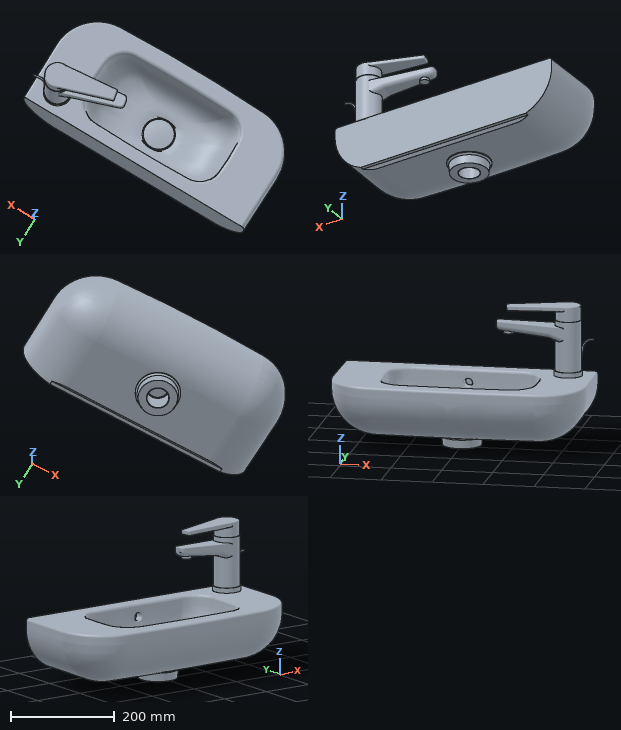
import cadquery as cq

BASIN_WIDTH = 502.0
BACK_WIDTH = 497.5
SIDE_LENGTH = 210.5
FRONT_BOW = 9.5
BASIN_HEIGHT = 112.0
PLAN_RADIUS = 92.5
BELLY_RADIUS = 90.5
RIM_ROUND = 6.5
BACK_STEP_DEPTH = 13.5
BACK_STEP_HEIGHT = 5.5

BOWL_BACK = 30.0
BOWL_FRONT = 179.5
BOWL_HALF_WIDTH = 144.5
BOWL_CORNER = 46.0
BOWL_BOW = 3.5
BOWL_SIDE_BOW = 6.0
BOWL_LIP = 7.0
BOWL_DEPTH = 90.0
DRAIN_END_CORNER = 21.0
DRAIN_END_BOW = 6.5
BOWL_LEVELS = [(1.0, 0.0), (0.98, 0.25), (0.92, 0.5), (0.77, 0.75), (0.43, 0.94), (0.0, 1.0)]
OVERFLOW_DIAMETER = 16.0
OVERFLOW_ROUND = 2.0
OVERFLOW_Z = -28.0
OVERFLOW_LENGTH = 35.0
OVERFLOW_END = 10.0

DRAIN_X = -1.0
DRAIN_Y = -91.0
BOSS_DIAMETER = 76.5
BOSS_NECK_DIAMETER = 80.0
BOSS_FLANGE_DIAMETER = 87.5
BOSS_FLANGE_HEIGHT = 2.0
BOSS_NECK_HEIGHT = 5.5
BOSS_OVERLAP = 5.0
BOSS_BOTTOM = -135.0
WASTE_FLANGE_DIAMETER = 64.0
WASTE_FLANGE_HEIGHT = 2.5
WASTE_DIAMETER = 44.0
WASTE_BORE = 42.0
PLUG_DIAMETER = 60.0
PLUG_EDGE_HEIGHT = 2.5
PLUG_DOME_HEIGHT = 2.5

TAP_X = 198.0
TAP_Y = -42.0
TAP_TURN = 192.0
BASE_DIAMETER = 55.0
BASE_HEIGHT = 10.0
COLUMN_DIAMETER = 52.0
COLUMN_TOP = 110.0
LEVER_HUB_DIAMETER = 50.0
LEVER_TOP = 140.0
LEVER_THICKNESS = 10.0
LEVER_REACH = 119.0
LEVER_ROOT_WIDTH = 49.0
LEVER_TIP_WIDTH = 22.0
LEVER_EDGE_ROUND = 2.5
AERATOR_DIAMETER = 20.0
AERATOR_REACH = 115.0
AERATOR_BOTTOM = 84.0
AERATOR_TOP = 95.0
ROD_DIAMETER = 4.0
ROD_START = (-24.5, 35.0)
ROD_BEND = (-28.0, 55.0)
ROD_END = (-49.5, 70.0)
SPOUT_ROOT_REACH = 10.0
SPOUT_HAUNCH_REACH = 38.0
SPOUT_REACH = 139.0
SPOUT_ROOT_WIDTH = 48.0
SPOUT_TIP_WIDTH = 25.0
SPOUT_ROOT_TOP = 98.5
SPOUT_TIP_TOP = 110.0
SPOUT_ROOT_UNDERSIDE = 65.0
SPOUT_HAUNCH_UNDERSIDE = 77.0
SPOUT_TIP_UNDERSIDE = 91.5
SPOUT_BOTTOM_ROUND = 10.5
SPOUT_NOSE_ROUND = 8.5
SPOUT_TOP_ROUND = 2.0


def basin_shell():
    """Shell with a bowed front, rounded front corners and a rounded belly."""
    side = BASIN_WIDTH / 2
    back = BACK_WIDTH / 2
    shell = (
        cq.Workplane("XY", origin=(0, 0, -BASIN_HEIGHT))
        .moveTo(back, 0)
        .lineTo(-back, 0)
        .lineTo(-side, -SIDE_LENGTH)
        .threePointArc((0, -SIDE_LENGTH - FRONT_BOW), (side, -SIDE_LENGTH))
        .close()
        .extrude(BASIN_HEIGHT)
    )
    shell = shell.edges("|Z and (not >Y)").fillet(PLAN_RADIUS)
    shell = shell.faces("<Z").edges("not >Y").fillet(BELLY_RADIUS)
    return shell.faces(">Z").edges("not >Y").fillet(RIM_ROUND)


def back_step():
    """Wedge removed under the back edge, with a sloping front."""
    bottom = -BASIN_HEIGHT
    top = bottom + BACK_STEP_HEIGHT
    return (
        cq.Workplane("YZ", origin=(-BASIN_WIDTH / 2, 0, 0))
        .polyline([(0, bottom), (-BACK_STEP_DEPTH, bottom), (BACK_STEP_HEIGHT - BACK_STEP_DEPTH, top), (0, top)])
        .close()
        .extrude(BASIN_WIDTH)
    )


def bowl_section(spread, z):
    """Rounded outline between the drain (spread 0) and the bowl opening (spread 1)."""
    def blend(at_drain, at_opening):
        return at_drain + spread * (at_opening - at_drain)

    drain_radius = WASTE_FLANGE_DIAMETER / 2
    drain_half = drain_radius - DRAIN_END_BOW
    half_width = blend(drain_half, BOWL_HALF_WIDTH)
    back = blend(DRAIN_Y + drain_half, -BOWL_BACK)
    front = blend(DRAIN_Y - drain_half, -BOWL_FRONT)
    corner = blend(DRAIN_END_CORNER, BOWL_CORNER)
    left = DRAIN_X - half_width
    right = DRAIN_X + half_width
    bow = blend(DRAIN_END_BOW, BOWL_BOW)
    side_bow = blend(DRAIN_END_BOW, BOWL_SIDE_BOW)
    middle = (back + front) / 2
    outline = (
        cq.Workplane("XY", origin=(0, 0, z))
        .moveTo(right, back)
        .threePointArc((DRAIN_X, back + bow), (left, back))
        .threePointArc((left - side_bow, middle), (left, front))
        .threePointArc((DRAIN_X, front - bow), (right, front))
        .threePointArc((right + side_bow, middle), (right, back))
        .wire()
        .val()
    )
    return outline.fillet2D(corner, outline.Vertices())


def bowl():
    """Smooth hollow that narrows from the opening to the drain."""
    sections = [bowl_section(spread, -BOWL_DEPTH * depth) for spread, depth in BOWL_LEVELS]
    return cq.Workplane(cq.Solid.makeLoft(sections))


def overflow():
    """Blind hole in the back wall of the bowl."""
    return (
        cq.Workplane("XZ", origin=(DRAIN_X, -OVERFLOW_END, OVERFLOW_Z))
        .circle(OVERFLOW_DIAMETER / 2)
        .extrude(OVERFLOW_LENGTH)
    )


def drain_boss():
    """Tapered outlet under the shell, with a short flange."""
    boss_top = -BASIN_HEIGHT + BOSS_OVERLAP
    foot = BOSS_DIAMETER / 2
    neck = BOSS_NECK_DIAMETER / 2
    flange = BOSS_FLANGE_DIAMETER / 2
    return (
        cq.Workplane("XZ", origin=(DRAIN_X, DRAIN_Y, 0))
        .moveTo(0, BOSS_BOTTOM)
        .lineTo(foot, BOSS_BOTTOM)
        .lineTo(neck, -BASIN_HEIGHT - BOSS_NECK_HEIGHT)
        .lineTo(flange, -BASIN_HEIGHT - BOSS_FLANGE_HEIGHT)
        .lineTo(flange, boss_top)
        .lineTo(0, boss_top)
        .close()
        .revolve(360, (0, 0, 0), (0, 1, 0))
    )


def drain_cylinder(diameter, bottom, top):
    return (
        cq.Workplane("XY", origin=(DRAIN_X, DRAIN_Y, bottom))
        .circle(diameter / 2)
        .extrude(top - bottom)
    )


def waste_outside():
    """Waste fitting without its bore, also the shape of its seat in the basin."""
    flange = drain_cylinder(WASTE_FLANGE_DIAMETER, -BOWL_DEPTH - WASTE_FLANGE_HEIGHT, -BOWL_DEPTH)
    return flange.union(drain_cylinder(WASTE_DIAMETER, BOSS_BOTTOM, -BOWL_DEPTH))


def make_basin():
    """Ceramic basin with its bowl, overflow and seat for the waste."""
    body = basin_shell().cut(back_step()).union(drain_boss()).cut(bowl())
    opening = cq.selectors.BoxSelector(
        (-BOWL_HALF_WIDTH - BOWL_LIP, -BOWL_FRONT - BOWL_LIP, -BOWL_LIP),
        (BOWL_HALF_WIDTH + BOWL_LIP, -BOWL_BACK + BOWL_LIP, BOWL_LIP),
    )
    body = body.faces(">Z").edges(opening).fillet(BOWL_LIP)
    body = body.cut(overflow())
    mouth = cq.selectors.BoxSelector(
        (DRAIN_X - OVERFLOW_DIAMETER, -OVERFLOW_END - OVERFLOW_LENGTH, OVERFLOW_Z - OVERFLOW_DIAMETER),
        (DRAIN_X + OVERFLOW_DIAMETER, -BOWL_BACK + BOWL_LIP, OVERFLOW_Z + OVERFLOW_DIAMETER),
    )
    body = body.edges(mouth).fillet(OVERFLOW_ROUND)
    return body.cut(waste_outside())


def make_waste():
    return waste_outside().cut(drain_cylinder(WASTE_BORE, BOSS_BOTTOM, 0))


def make_plug():
    """Disc with a domed top that rests on the waste."""
    r = PLUG_DIAMETER / 2
    edge_top = -BOWL_DEPTH + PLUG_EDGE_HEIGHT
    apex = edge_top + PLUG_DOME_HEIGHT
    dome_radius = (r**2 + PLUG_DOME_HEIGHT**2) / (2 * PLUG_DOME_HEIGHT)
    return (
        cq.Workplane("XZ", origin=(DRAIN_X, DRAIN_Y, 0))
        .moveTo(0, -BOWL_DEPTH)
        .lineTo(r, -BOWL_DEPTH)
        .lineTo(r, edge_top)
        .radiusArc((0, apex), -dome_radius)
        .close()
        .revolve(360, (0, 0, 0), (0, 1, 0))
    )


def place_tap(body):
    return body.rotate((0, 0, 0), (0, 0, 1), TAP_TURN).translate((TAP_X, TAP_Y, 0))


def tap_cylinder(diameter, bottom, top, reach=0.0):
    return cq.Workplane("XY", origin=(reach, 0, bottom)).circle(diameter / 2).extrude(top - bottom)


def spout():
    """Tapered spout with a rounded underside that drops to a haunch at the column."""
    profile = (
        cq.Workplane("XZ", origin=(0, SPOUT_ROOT_WIDTH, 0))
        .polyline(
            [
                (SPOUT_ROOT_REACH, SPOUT_ROOT_TOP),
                (SPOUT_REACH, SPOUT_TIP_TOP),
                (SPOUT_REACH, SPOUT_TIP_UNDERSIDE),
                (SPOUT_HAUNCH_REACH, SPOUT_HAUNCH_UNDERSIDE),
                (SPOUT_ROOT_REACH, SPOUT_ROOT_UNDERSIDE),
            ]
        )
        .close()
        .extrude(2 * SPOUT_ROOT_WIDTH)
    )
    root = SPOUT_ROOT_WIDTH / 2
    tip = SPOUT_TIP_WIDTH / 2
    plan = (
        cq.Workplane("XY")
        .polyline([(SPOUT_ROOT_REACH, root), (SPOUT_REACH, tip), (SPOUT_REACH, -tip), (SPOUT_ROOT_REACH, -root)])
        .close()
        .extrude(LEVER_TOP)
    )
    body = profile.intersect(plan)
    lengthwise = cq.selectors.StringSyntaxSelector("(not |Y) and (not |Z)")
    below = cq.selectors.BoxSelector((0, -root, 0), (SPOUT_REACH, root, SPOUT_TIP_UNDERSIDE))
    body = body.edges(lengthwise & below).fillet(SPOUT_BOTTOM_ROUND)
    body = body.faces(">X").edges("not >Z").fillet(SPOUT_NOSE_ROUND)
    return body.faces(">Z").edges("not |Y").fillet(SPOUT_TOP_ROUND)


def pull_rod():
    """Rod that leans out of the back of the column and bends outwards."""
    start_x, start_z = ROD_START
    bend_x, bend_z = ROD_BEND
    path = cq.Workplane("XZ").moveTo(*ROD_START).lineTo(*ROD_BEND).tangentArcPoint(ROD_END, relative=False)
    lean = (bend_x - start_x, 0, bend_z - start_z)
    plane = cq.Plane(origin=(start_x, 0, start_z), xDir=(0, 1, 0), normal=lean)
    return cq.Workplane(plane).circle(ROD_DIAMETER / 2).sweep(path)


def make_lever():
    """Hub with a flat handle that narrows towards its tip."""
    root = LEVER_ROOT_WIDTH / 2
    tip = LEVER_TIP_WIDTH / 2
    handle = (
        cq.Workplane("XY", origin=(0, 0, LEVER_TOP - LEVER_THICKNESS))
        .polyline([(0, root), (LEVER_REACH, tip), (LEVER_REACH, -tip), (0, -root)])
        .close()
        .extrude(LEVER_THICKNESS)
    )
    handle = handle.edges("|Z and >X").fillet(LEVER_EDGE_ROUND)
    handle = handle.faces("<Z or >Z").edges("not <X").fillet(LEVER_EDGE_ROUND)
    hub = tap_cylinder(LEVER_HUB_DIAMETER, COLUMN_TOP, LEVER_TOP).faces(">Z").edges().fillet(LEVER_EDGE_ROUND)
    return hub.union(handle)


def make_aerator():
    return tap_cylinder(AERATOR_DIAMETER, AERATOR_BOTTOM, AERATOR_TOP, AERATOR_REACH)


def make_column():
    """Column and spout, with seats for the aerator and the rod."""
    body = tap_cylinder(COLUMN_DIAMETER, BASE_HEIGHT, COLUMN_TOP).union(spout())
    return body.cut(make_aerator()).cut(pull_rod())


basin = make_basin()
waste = make_waste()
plug = make_plug()
base_ring = place_tap(tap_cylinder(BASE_DIAMETER, 0, BASE_HEIGHT))
column = place_tap(make_column())
aerator = place_tap(make_aerator())
rod = place_tap(pull_rod())
lever = place_tap(make_lever())

bodies = [basin, waste, plug, base_ring, column, aerator, rod, lever]
result = cq.Compound.makeCompound([body.solids().val() for body in bodies])